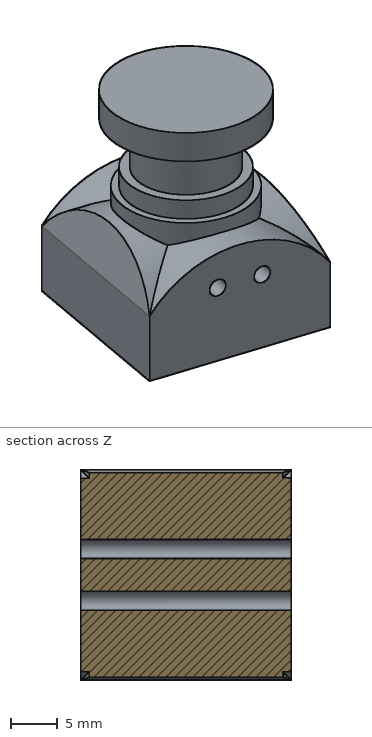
import cadquery as cq

base_side = 22.4
wall_height = 8.0
vault_top = 13.5
end_face_lean = 1.67

lower_ring = (16.0, 15.2)
upper_ring = (14.28, 17.5)
neck = (12.0, 23.5)
head_diameter = 18.55
total_height = 27.0

hole_diameter = 2.0
hole_spacing = 5.5
hole_height = 9.0

half_side = base_side / 2


def vault_along_y():
    """Block with straight walls and an arched roof, running the full base side along Y."""
    return (
        cq.Workplane("XZ")
        .moveTo(-half_side, 0)
        .lineTo(half_side, 0)
        .lineTo(half_side, wall_height)
        .threePointArc((0, vault_top), (-half_side, wall_height))
        .close()
        .extrude(half_side, both=True)
    )


def leaning_envelope():
    """Side outline whose Y end faces lean inward above the straight walls."""
    crown_half = half_side - end_face_lean
    return (
        cq.Workplane("YZ")
        .polyline([
            (-half_side, 0),
            (half_side, 0),
            (half_side, wall_height),
            (crown_half, vault_top),
            (-crown_half, vault_top),
            (-half_side, wall_height),
        ])
        .close()
        .extrude(half_side, both=True)
    )


def disc(diameter, bottom, top):
    """Vertical cylinder on the central axis."""
    return cq.Workplane("XY").workplane(offset=bottom).circle(diameter / 2).extrude(top - bottom)


vault_along_x = vault_along_y().rotate((0, 0, 0), (0, 0, 1), 90)
body = vault_along_y().intersect(leaning_envelope()).union(vault_along_x)

for diameter, top in (lower_ring, upper_ring, neck):
    body = body.union(disc(diameter, wall_height, top))

neck_top = neck[1]
body = body.union(disc(head_diameter, neck_top, total_height))

holes = (
    cq.Workplane("YZ")
    .pushPoints([(-hole_spacing / 2, hole_height), (hole_spacing / 2, hole_height)])
    .circle(hole_diameter / 2)
    .extrude(half_side, both=True)
)

result = body.cut(holes)